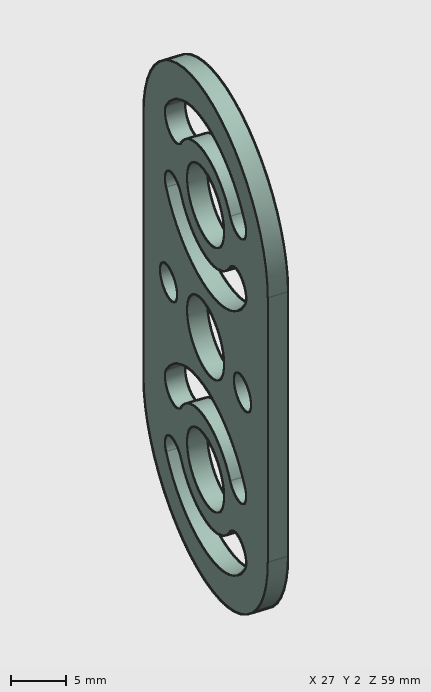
import cadquery as cq
import math

length = 59.0
width = 27.0
thickness = 2.0
end_offset = (length - width) / 2

large_hole_diameter = 8.0
small_hole_diameter = 3.7
pitch_radius = 8.0
slot_width = small_hole_diameter
slot_end_angle = 30.0


def polar(radius, degrees):
    """Point at a radius and angle about the local origin."""
    angle = math.radians(degrees)
    return cq.Vector(radius * math.cos(angle), radius * math.sin(angle))


def round_holes(points, diameter):
    """Cutters for round through holes at the given (x, z) points."""
    return (
        cq.Workplane("XZ")
        .pushPoints(points)
        .circle(diameter / 2)
        .extrude(thickness / 2, both=True)
    )


def arc_slot(center_z, middle_angle):
    """Cutter for a round-ended slot curved about (0, center_z), centred on middle_angle."""
    half_sweep = 90 - slot_end_angle
    start = middle_angle - half_sweep
    end = middle_angle + half_sweep
    cap_radius = slot_width / 2
    inner = pitch_radius - cap_radius
    outer = pitch_radius + cap_radius
    start_tip = polar(pitch_radius, start) + polar(cap_radius, start - 90)
    end_tip = polar(pitch_radius, end) + polar(cap_radius, end + 90)
    return (
        cq.Workplane("XZ", origin=(0, 0, center_z))
        .moveTo(*polar(outer, start).toTuple()[:2])
        .threePointArc(polar(outer, middle_angle), polar(outer, end))
        .threePointArc(end_tip, polar(inner, end))
        .threePointArc(polar(inner, middle_angle), polar(inner, start))
        .threePointArc(start_tip, polar(outer, start))
        .close()
        .extrude(thickness / 2, both=True)
    )


plate = (
    cq.Workplane("XZ")
    .slot2D(length, width, 90)
    .extrude(thickness / 2, both=True)
)

large_holes = round_holes([(0, -end_offset), (0, 0), (0, end_offset)], large_hole_diameter)
small_holes = round_holes([(-pitch_radius, 0), (pitch_radius, 0)], small_hole_diameter)
result = plate.cut(large_holes).cut(small_holes)

for center_z in (-end_offset, end_offset):
    for middle_angle in (90, 270):
        result = result.cut(arc_slot(center_z, middle_angle))